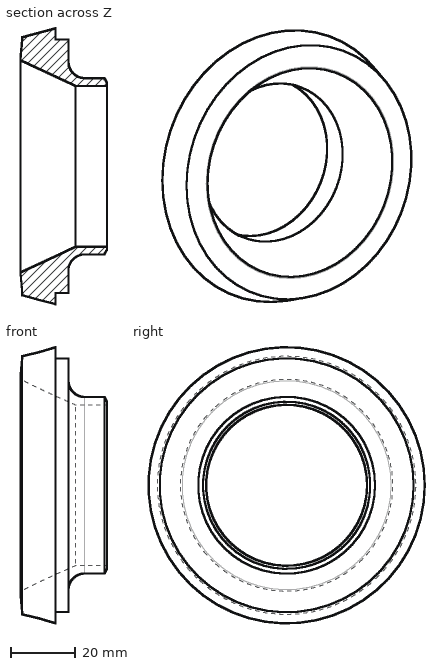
import cadquery as cq
import math

total_length = 27.0
flange_back = 11.0
shoulder_back = 15.0

flange_radius = 86.0 / 2
shoulder_radius = 79.0 / 2
neck_radius = 55.0 / 2
bore_radius = 50.0 / 2
rim_outer_radius = 67.0 / 2
seat_radius = 66.0 / 2

seat_half_angle = 25.0
flange_side_angle = 15.0
front_face_angle = 5.0
neck_fillet = 5.0
neck_chamfer_depth = 1.5
neck_chamfer_angle = 30.0


def slope(angle):
    """Rise per unit run of a line at the given angle in degrees."""
    return math.tan(math.radians(angle))


bore_start = (seat_radius - bore_radius) / slope(seat_half_angle)

flange_side_radius_at_rim = flange_radius - flange_back * slope(flange_side_angle)
flange_front = (flange_side_radius_at_rim - rim_outer_radius) / (
    1 / slope(front_face_angle) - slope(flange_side_angle)
)
flange_front_radius = rim_outer_radius + flange_front / slope(front_face_angle)

neck_chamfer_length = neck_chamfer_depth * slope(neck_chamfer_angle)

fillet_center_x = shoulder_back + neck_fillet
fillet_center_radius = neck_radius + neck_fillet
fillet_middle_offset = neck_fillet * math.sqrt(0.5)
fillet_middle = (
    fillet_center_x - fillet_middle_offset,
    fillet_center_radius - fillet_middle_offset,
)


def half_section():
    """Closed outline of the ring wall: X along the axis, Y as the radius."""
    return (
        cq.Workplane("XY")
        .moveTo(0, seat_radius)
        .lineTo(0, rim_outer_radius)
        .lineTo(flange_front, flange_front_radius)
        .lineTo(flange_back, flange_radius)
        .lineTo(flange_back, shoulder_radius)
        .lineTo(shoulder_back, shoulder_radius)
        .lineTo(shoulder_back, fillet_center_radius)
        .threePointArc(fillet_middle, (fillet_center_x, neck_radius))
        .lineTo(total_length - neck_chamfer_length, neck_radius)
        .lineTo(total_length, neck_radius - neck_chamfer_depth)
        .lineTo(total_length, bore_radius)
        .lineTo(bore_start, bore_radius)
        .close()
    )


result = half_section().revolve(360, (0, 0, 0), (1, 0, 0))